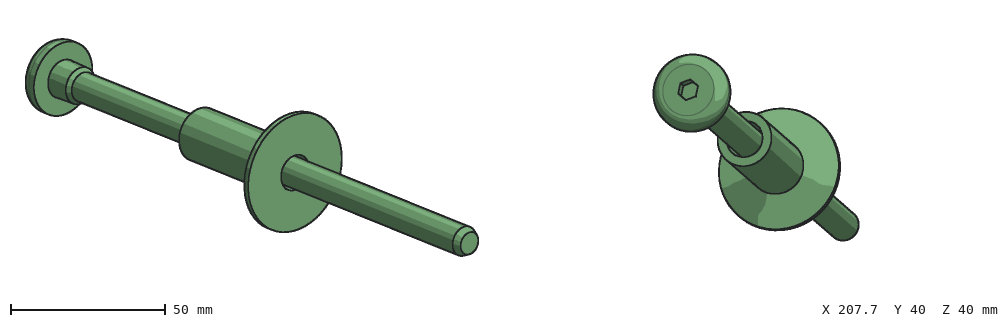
import cadquery as cq
import math


head_radius = 12.5
head_height = 6.67
head_fillet = 4.0
neck_length = 10.0
neck_root_radius = 6.5
neck_end_radius = 6.25
neck_chamfer = 1.5
shank_radius = 5.0
shank_end = 201.0
tip_length = 2.6
tip_radius = 3.8

socket_across_flats = 6.0
socket_depth = 4.0
socket_turn = -18.0

sleeve_start = 67.7
sleeve_length = 47.0
sleeve_radius = 9.0
bore_radius = 6.0
flange_radius = 20.0
flange_rim_width = 2.0
flange_cone_length = 3.0


def turn_about_x(profile):
    return profile.close().revolve(360, (0, 0, 0), (1, 0, 0))


def make_screw_blank():
    face_x = -head_height
    arc_offset = head_fillet * (1 - math.sqrt(0.5))
    profile = (
        cq.Workplane("XY")
        .moveTo(face_x, 0)
        .lineTo(face_x, head_radius - head_fillet)
        .threePointArc(
            (face_x + arc_offset, head_radius - arc_offset),
            (face_x + head_fillet, head_radius),
        )
        .lineTo(0, head_radius)
        .lineTo(0, neck_root_radius)
        .lineTo(neck_length - neck_chamfer, neck_end_radius)
        .lineTo(neck_length, shank_radius)
        .lineTo(shank_end - tip_length, shank_radius)
        .lineTo(shank_end, tip_radius)
        .lineTo(shank_end, 0)
    )
    return turn_about_x(profile)


def make_socket():
    across_corners = socket_across_flats / math.cos(math.radians(30))
    return (
        cq.Workplane("YZ", origin=(-head_height, 0, 0))
        .polygon(6, across_corners)
        .extrude(socket_depth)
        .rotate((0, 0, 0), (1, 0, 0), socket_turn)
    )


def make_sleeve():
    sleeve_end = sleeve_start + sleeve_length
    rim_start = sleeve_end - flange_rim_width
    cone_start = rim_start - flange_cone_length
    profile = (
        cq.Workplane("XY")
        .moveTo(sleeve_start, bore_radius)
        .lineTo(sleeve_start, sleeve_radius)
        .lineTo(cone_start, sleeve_radius)
        .lineTo(rim_start, flange_radius)
        .lineTo(sleeve_end, flange_radius)
        .lineTo(sleeve_end, bore_radius)
    )
    return turn_about_x(profile)


screw = make_screw_blank().cut(make_socket())
sleeve = make_sleeve()

result = cq.Compound.makeCompound([screw.val(), sleeve.val()])